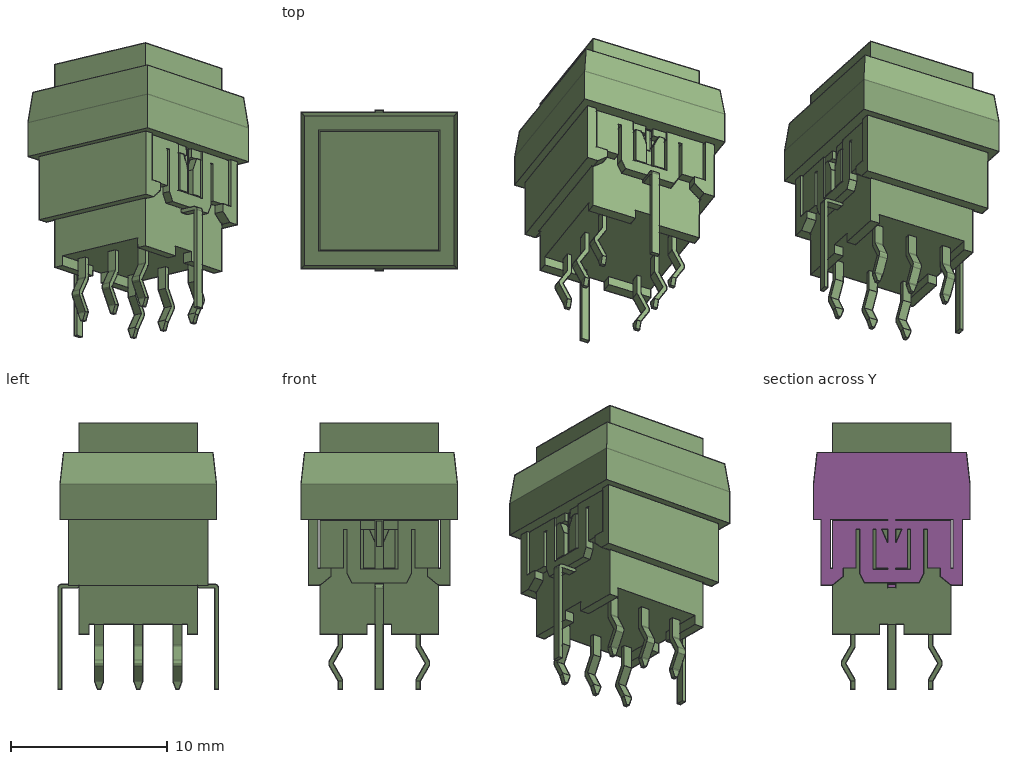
import cadquery as cq
import math


bezel_side = 10.0
bezel_rim_height = 2.25
bezel_height = 4.28
bezel_top_side = 9.54
cap_side = 7.56
overall_height = 17.0
cap_top = 6.17
cap_gap = 0.08
cap_gap_depth = 1.0

core_side = 7.56
core_bottom = -7.33
foot_length = 0.65
foot_height = 0.65
foot_notch_width = 1.56

wall_outer_x = 4.52
wall_inner_x = 3.89
wall_half_length = 4.46
wall_bottom = -4.2
hook_top = -3.1
hook_tip_x = 3.09
hook_tip_z = -3.63

plate_face = 4.34
plate_top = -0.05
slot_outer_x = 2.27
slot_top = -0.63
tongue_half_width = 2.05
tongue_shoulder_z = -3.44
tongue_tip_half_width = 1.75
tongue_bottom = -4.04
window_half_width = 1.19
window_bottom = -3.16
lintel_face = 4.24
pane_half_width = 1.02
pane_bottom = -3.1
bar_half_width = 0.26
bar_face = 3.98
funnel_half_width = 0.63
funnel_bottom = -1.47
blade_half_width = 0.16
blade_face = 4.03
blade_top = -0.1
blade_bottom = -1.73

terminal_bottom = cap_top - overall_height
strap_span = 10.25
strap_width = 0.54
strap_thickness = 0.25
strap_top = -4.12
strap_bend_radius = 0.26
strap_root_relief = 0.09
pin_row_x = 2.48
pin_pitch_y = 2.5
pin_width = 0.6
pin_thickness = 0.3
pin_bend_top = -8.04
pin_bend_bottom = -10.3
pin_bulge = 0.65
pin_bend_radius = 0.1
pin_tip_width = 0.2

core_half = core_side / 2
core_recess_z = core_bottom + foot_height
overlap = 0.2


def box(x_min, x_max, y_min, y_max, z_min, z_max):
    size = (x_max - x_min, y_max - y_min, z_max - z_min)
    return cq.Workplane("XY").box(*size, centered=False).translate((x_min, y_min, z_min))


def front_block(half_width, z_min, z_max, face):
    """Block centred on X, from inside the core out to y = -face."""
    return box(-half_width, half_width, -face, overlap - core_half, z_min, z_max)


def front_prism(points, face):
    """Prism with an XZ outline, from the -Y face of the core out to y = -face."""
    outline = cq.Workplane("XZ", origin=(0, -core_half, 0)).polyline(points).close()
    return outline.extrude(face - core_half)


def both_x(shape):
    return shape.union(shape.mirror("YZ"))


def both_y(shape):
    return shape.union(shape.mirror("XZ"))


def make_bezel():
    rim = cq.Workplane("XY").rect(bezel_side, bezel_side).extrude(bezel_rim_height)
    crown = (
        cq.Workplane("XY", origin=(0, 0, bezel_rim_height))
        .rect(bezel_side, bezel_side)
        .workplane(offset=bezel_height - bezel_rim_height)
        .rect(bezel_top_side, bezel_top_side)
        .loft(ruled=True)
    )
    opening_side = cap_side + 2 * cap_gap
    opening = (
        cq.Workplane("XY", origin=(0, 0, bezel_height - cap_gap_depth))
        .rect(opening_side, opening_side)
        .extrude(cap_gap_depth)
    )
    cap = cq.Workplane("XY").rect(cap_side, cap_side).extrude(cap_top)
    return rim.union(crown).cut(opening).union(cap)


def make_core():
    core = box(-core_half, core_half, -core_half, core_half, core_bottom, overlap)
    recess_half = core_half - foot_length
    recess = box(-core_half, core_half, -recess_half, recess_half, core_bottom, core_recess_z)
    notch_half = foot_notch_width / 2
    notch = box(-notch_half, notch_half, -core_half, core_half, core_bottom, core_recess_z)
    return core.cut(recess).cut(notch)


def make_wall():
    """-X side wall with the hook on its -Y end reaching over the core."""
    wall = box(-wall_outer_x, -wall_inner_x, -wall_half_length, wall_half_length, wall_bottom, overlap)
    hook = front_prism(
        [
            (-wall_outer_x, hook_top),
            (-hook_tip_x, hook_top),
            (-hook_tip_x, hook_tip_z),
            (-core_half, wall_bottom),
            (-wall_outer_x, wall_bottom),
        ],
        wall_half_length,
    )
    return wall.union(both_y(hook))


def make_latch_plate():
    """-Y latch plate: two side panels, a central tongue and the window in the tongue."""
    plate = front_block(core_half, hook_top, plate_top, plate_face)
    tongue = front_prism(
        [
            (-tongue_half_width, plate_top),
            (tongue_half_width, plate_top),
            (tongue_half_width, tongue_shoulder_z),
            (tongue_tip_half_width, tongue_bottom),
            (-tongue_tip_half_width, tongue_bottom),
            (-tongue_half_width, tongue_shoulder_z),
        ],
        plate_face,
    )
    slot = box(-slot_outer_x, -tongue_half_width, -plate_face, -core_half, hook_top, slot_top)
    window = box(-window_half_width, window_half_width, -plate_face, -core_half, window_bottom, plate_top)
    return plate.union(tongue).cut(both_x(slot)).cut(window)


def make_window_insert():
    """Lintel, split pane, and the recessed bar with its blade inside the -Y latch window."""
    lintel = front_block(window_half_width, slot_top, plate_top, lintel_face)
    pane = front_block(pane_half_width, pane_bottom, slot_top, plate_face)
    channel = box(-bar_half_width, bar_half_width, -plate_face, -core_half, window_bottom, plate_top)
    funnel = front_prism(
        [
            (-funnel_half_width, slot_top),
            (funnel_half_width, slot_top),
            (bar_half_width, funnel_bottom),
            (-bar_half_width, funnel_bottom),
        ],
        plate_face,
    )
    bar = front_block(bar_half_width, window_bottom, overlap, bar_face)
    blade = front_block(blade_half_width, blade_bottom, blade_top, blade_face)
    split_pane = pane.cut(channel).cut(funnel)
    return lintel.cut(channel).union(split_pane).union(bar).union(blade)


def make_strap():
    """L-shaped terminal leaving the -Y face of the core and bending down."""
    outer_y = -strap_span / 2
    inner_y = outer_y + strap_thickness
    root_y = overlap - core_half
    underside_z = strap_top - strap_thickness
    return (
        cq.Workplane("YZ", origin=(-strap_width / 2, 0, 0))
        .moveTo(root_y, strap_top)
        .lineTo(outer_y + strap_bend_radius, strap_top)
        .radiusArc((outer_y, strap_top - strap_bend_radius), -strap_bend_radius)
        .lineTo(outer_y, terminal_bottom)
        .lineTo(inner_y, terminal_bottom)
        .lineTo(inner_y, underside_z)
        .lineTo(-core_half - strap_root_relief, underside_z)
        .lineTo(-core_half, underside_z + strap_root_relief)
        .lineTo(root_y, underside_z + strap_root_relief)
        .close()
        .extrude(strap_width)
    )


def make_pin():
    """-X row pin at y = 0: kinked outward, with a tip tapered in Y."""
    outer_x = -pin_row_x - pin_thickness / 2
    inner_x = outer_x + pin_thickness
    half_width = pin_width / 2
    root_z = core_recess_z + overlap
    apex_x = outer_x - pin_bulge
    apex_z = (pin_bend_top + pin_bend_bottom) / 2
    kink_angle = math.atan2(pin_bulge, pin_bend_top - apex_z)
    miter_drop = pin_thickness * math.tan(kink_angle / 2)
    strip = (
        cq.Workplane("XZ", origin=(0, half_width, 0))
        .polyline(
            [
                (outer_x, root_z),
                (outer_x, pin_bend_top),
                (apex_x, apex_z),
                (outer_x, pin_bend_bottom),
                (outer_x, terminal_bottom),
                (inner_x, terminal_bottom),
                (inner_x, pin_bend_bottom + miter_drop),
                (apex_x + pin_thickness / math.cos(kink_angle), apex_z),
                (inner_x, pin_bend_top - miter_drop),
                (inner_x, root_z),
            ]
        )
        .close()
        .extrude(pin_width)
    )
    for bend_z in (pin_bend_top, pin_bend_bottom):
        strip = strip.edges(cq.NearestToPointSelector((outer_x, 0, bend_z))).fillet(pin_bend_radius)
    strip = strip.edges("<X").fillet(pin_bend_radius + pin_thickness)
    silhouette = (
        cq.Workplane("YZ", origin=(apex_x, 0, 0))
        .polyline(
            [
                (-half_width, root_z),
                (half_width, root_z),
                (half_width, pin_bend_bottom),
                (pin_tip_width / 2, terminal_bottom),
                (-pin_tip_width / 2, terminal_bottom),
                (-half_width, pin_bend_bottom),
            ]
        )
        .close()
        .extrude(pin_bulge + pin_thickness)
    )
    return strip.intersect(silhouette)


result = make_bezel().union(make_core())
result = result.union(both_x(make_wall()))
result = result.union(both_y(make_latch_plate().union(make_window_insert())))
result = result.union(both_y(make_strap()))
for row_position in (-1, 0, 1):
    pin = make_pin().translate((0, row_position * pin_pitch_y, 0))
    result = result.union(both_x(pin))